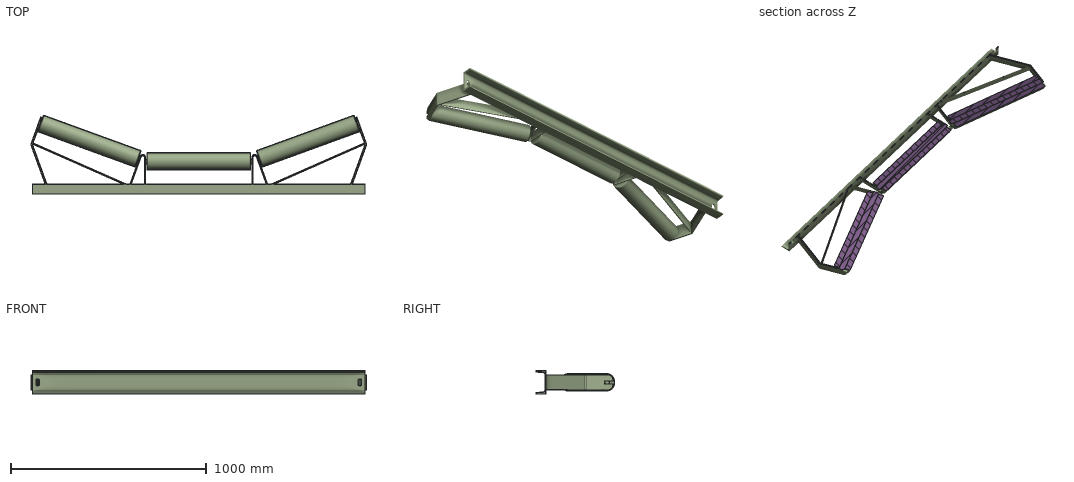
import cadquery as cq
import math


overall_width = 1715.0

channel_length = 1701.0
channel_height = 120.0
channel_depth = 51.0
web_thickness = 5.0
flange_tip_thickness = 7.7
flange_root_thickness = 11.1
toe_radius = 5.0
root_fillet = 9.0
mount_slot_width = 19.0
mount_slot_length = 36.0
mount_slot_spacing = 1647.0

trough_angle = 20.0
roller_diameter = 90.0
roller_length = 530.0
roller_end_radius = 4.3
shaft_diameter = 25.0
shaft_flat_width = 15.0
level_axis_y = 117.0
wing_center_x = -559.0
wing_center_y = 220.0

outer_bracket_width = 77.0
outer_plate_thickness = 9.0
outer_bend_radius = 15.0
outer_end_radius = 22.0
elbow_y = 202.0
outer_plate_top_y = 343.0

inner_bracket_width = 50.0
inner_plate_thickness = 6.0
inner_bracket_top_y = 151.0
inner_bend_radius = 14.0
level_plate_x = -278.0
wing_plate_clearance = 5.0
strut_width = 53.0
strut_thickness = 6.0
strut_foot_x = -370.0
strut_angle = 23.8

tilt = math.radians(trough_angle)
along_x = math.cos(tilt)
along_y = -math.sin(tilt)

elbow_x = -overall_width / 2 - outer_bend_radius * (1 / math.cos(tilt) - 1)

level_plate_inner_x = level_plate_x + inner_plate_thickness


def wing_coordinate(x, y):
    """Distance of a point along the -X wing axis, from the middle of its roller."""
    return (x - wing_center_x) * along_x + (y - wing_center_y) * along_y


def on_wing(body):
    """Move a body built along X at the origin onto the -X wing axis."""
    turned = body.rotate((0, 0, 0), (0, 0, 1), -trough_angle)
    return turned.translate((wing_center_x, wing_center_y, 0))


def mirrored(body):
    """The same body on the other side of X = 0."""
    return body.mirror("YZ")


wing_outer_face = wing_coordinate(elbow_x, elbow_y)
wing_inner_near_face = roller_length / 2 + wing_plate_clearance
wing_inner_far_face = wing_inner_near_face + inner_plate_thickness


def make_channel():
    """Channel with tapered flanges towards -Y and an upright mounting slot near each end."""
    half_height = channel_height / 2
    tip_z = half_height - flange_tip_thickness
    root_z = half_height - flange_root_thickness
    channel = (
        cq.Workplane("YZ", origin=(-channel_length / 2, 0, 0))
        .polyline(
            [
                (0, -half_height),
                (0, half_height),
                (-channel_depth, half_height),
                (-channel_depth, tip_z),
                (-web_thickness, root_z),
                (-web_thickness, -root_z),
                (-channel_depth, -tip_z),
                (-channel_depth, -half_height),
            ]
        )
        .close()
        .extrude(channel_length)
    )
    for side in (-1, 1):
        root = cq.selectors.NearestToPointSelector((0, -web_thickness, side * root_z))
        toe = cq.selectors.NearestToPointSelector((0, -channel_depth, side * tip_z))
        channel = channel.edges("|X").edges(root).fillet(root_fillet)
        channel = channel.edges("|X").edges(toe).fillet(toe_radius)
    slots = (
        cq.Workplane("XZ")
        .pushPoints([(-mount_slot_spacing / 2, 0), (mount_slot_spacing / 2, 0)])
        .slot2D(mount_slot_length, mount_slot_width, 90)
        .extrude(web_thickness)
    )
    return channel.cut(slots)


def shaft_slot(start, end, height):
    """Cutter for a slot along X that seats a shaft's flats and is open towards +Y."""
    bottom = -shaft_diameter / 2
    centered = (False, False, True)
    slot = cq.Workplane("XY").box(end - start, height - bottom, shaft_flat_width, centered=centered)
    return slot.translate((start, bottom, 0))


def make_outer_bracket():
    """Bent plate leaning outwards from the channel, then back along the end of the wing roller."""
    lean = math.tan(tilt)
    across = outer_plate_thickness / math.cos(tilt)
    foot_x = elbow_x + elbow_y * lean
    rise = (outer_plate_top_y - elbow_y) / math.cos(tilt)
    top = (elbow_x + rise * math.sin(tilt), outer_plate_top_y)
    inner_top = (top[0] + outer_plate_thickness * along_x, top[1] + outer_plate_thickness * along_y)
    plate = (
        cq.Workplane("XY", origin=(0, 0, -outer_bracket_width / 2))
        .polyline(
            [
                (foot_x, 0),
                (elbow_x, elbow_y),
                top,
                inner_top,
                (elbow_x + across, elbow_y),
                (foot_x + across, 0),
            ]
        )
        .close()
        .extrude(outer_bracket_width)
    )
    plate = plate.edges("|Z").edges("<X").fillet(outer_bend_radius)
    inner_elbow = cq.selectors.NearestToPointSelector((elbow_x + across, elbow_y, 0))
    plate = plate.edges("|Z").edges(inner_elbow).fillet(outer_bend_radius - outer_plate_thickness)
    plate = plate.faces(">Y").edges("not |Z").edges("<Z or >Z").fillet(outer_end_radius)
    slot = shaft_slot(wing_outer_face, wing_outer_face + outer_plate_thickness, roller_diameter)
    return plate.cut(on_wing(slot))


def wing_face_x(position, y):
    """X at height y of the plane square to the wing axis at the given position on it."""
    return wing_center_x + (position - (y - wing_center_y) * along_y) / along_x


def make_inner_bracket():
    """Folded strip: a plate square to the wing roller, a short top and an upright plate."""
    under_y = inner_bracket_top_y - inner_plate_thickness
    strip = (
        cq.Workplane("XY", origin=(0, 0, -inner_bracket_width / 2))
        .polyline(
            [
                (wing_face_x(wing_inner_near_face, 0), 0),
                (wing_face_x(wing_inner_near_face, inner_bracket_top_y), inner_bracket_top_y),
                (level_plate_inner_x, inner_bracket_top_y),
                (level_plate_inner_x, 0),
                (level_plate_x, 0),
                (level_plate_x, under_y),
                (wing_face_x(wing_inner_far_face, under_y), under_y),
                (wing_face_x(wing_inner_far_face, 0), 0),
            ]
        )
        .close()
        .extrude(inner_bracket_width)
    )
    strip = strip.edges("|Z").edges(">Y").fillet(inner_bend_radius)
    inside_corners = cq.selectors.BoxSelector(
        (elbow_x, under_y - inner_plate_thickness / 2, -inner_bracket_width),
        (0, under_y + inner_plate_thickness / 2, inner_bracket_width),
    )
    strip = strip.edges("|Z").edges(inside_corners).fillet(inner_bend_radius - inner_plate_thickness)
    wing_slot = shaft_slot(wing_inner_near_face, wing_inner_far_face, roller_diameter)
    level_slot = shaft_slot(level_plate_x, level_plate_inner_x, roller_diameter)
    return strip.cut(on_wing(wing_slot)).cut(level_slot.translate((0, level_axis_y, 0)))


def make_strut():
    """Flat brace from the channel up to the elbow of the outer bracket."""
    slope = math.tan(math.radians(strut_angle))
    foot_run = strut_thickness / math.sin(math.radians(strut_angle))
    head_x = elbow_x + outer_plate_thickness
    head_y = (strut_foot_x - head_x) * slope
    head_drop = foot_run * slope
    return (
        cq.Workplane("XY", origin=(0, 0, -strut_width / 2))
        .polyline(
            [
                (strut_foot_x, 0),
                (head_x, head_y),
                (head_x, head_y - head_drop),
                (strut_foot_x - foot_run, 0),
            ]
        )
        .close()
        .extrude(strut_width)
    )


def make_frame():
    """Channel, brackets and struts welded into one solid."""
    frame = make_channel()
    for part in (make_outer_bracket(), make_strut(), make_inner_bracket()):
        frame = frame.union(part).union(mirrored(part))
    return frame


def make_roller():
    """Bored roller along X with rounded ends, centered on the origin."""
    end_plane = cq.Workplane("YZ", origin=(-roller_length / 2, 0, 0))
    roller = end_plane.circle(roller_diameter / 2).extrude(roller_length)
    roller = roller.faces("<X or >X").edges().fillet(roller_end_radius)
    return roller.faces(">X").workplane().hole(shaft_diameter)


def make_shaft(start, end):
    """Shaft along X whose ends, outside the roller, are flattened to fit the bracket slots."""
    shaft = cq.Workplane("YZ", origin=(start, 0, 0)).circle(shaft_diameter / 2).extrude(end - start)
    flats = cq.Workplane("XY").box(end - start, shaft_diameter, shaft_flat_width)
    flats = flats.translate(((start + end) / 2, 0, 0))
    round_part = cq.Workplane("XY").box(roller_length, shaft_diameter, shaft_diameter)
    return shaft.intersect(flats.union(round_part))


frame = make_frame()

level_place = (0, level_axis_y, 0)
wing_roller = on_wing(make_roller())
rollers = [make_roller().translate(level_place), wing_roller, mirrored(wing_roller)]

wing_shaft = on_wing(make_shaft(wing_outer_face, wing_inner_far_face))
level_shaft = make_shaft(level_plate_x, -level_plate_x).translate(level_place)
shafts = [level_shaft, wing_shaft, mirrored(wing_shaft)]

result = cq.Compound.makeCompound([body.val() for body in [frame, *rollers, *shafts]])